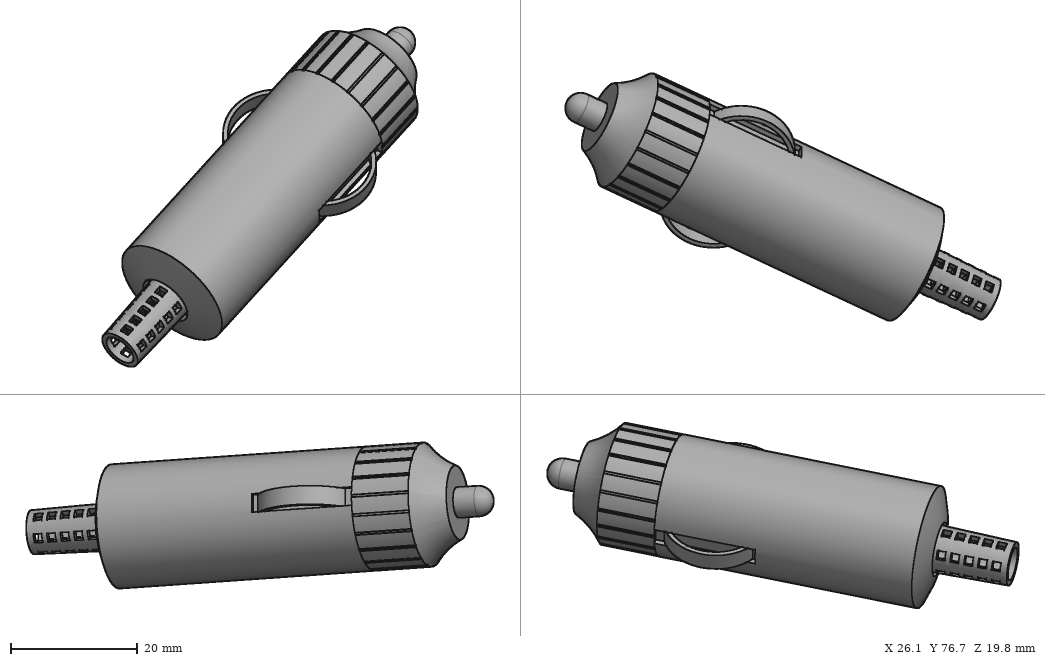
import cadquery as cq
import math


tip_end = 76.7
cap_front = 70.8
cap_shoulder = 65.75
cap_rear = 56.3
housing_rim = 13.8

plug_radius = 9.9
tip_radius = 2.45
cap_front_radius = 5.9

flank_hollow = 0.4
groove_count = 20
groove_width = 0.4
groove_depth = 0.15

arm_radius = 8.5
arm_reach = 13.05
arm_thickness = 0.8
arm_width = 3.0
arm_center_y = 47.65
arm_center_x = arm_reach - arm_radius

dome_radius = 23.4
slot_floor = 8.9
slot_rear = 39.7
recess_radius = 4.4
recess_depth = 1.5
dome_center_y = housing_rim + math.sqrt(dome_radius**2 - plug_radius**2)
recess_mouth_y = dome_center_y - math.sqrt(dome_radius**2 - recess_radius**2)
recess_floor_y = recess_mouth_y + recess_depth

relief_root_radius = 3.8
relief_outlet_radius = 3.5
relief_bore_radius = 2.7
window_columns = 6
window_rows = 5
window_width = 1.45
window_length = 1.4
first_window_y = 1.85
last_window_y = 10.9


def revolve_about_y(profile):
    """Revolve a closed XY profile one full turn about the Y axis."""
    return profile.close().revolve(360, (0, 0, 0), (0, 1, 0))


def make_contact_tip():
    """Round pin with a hemispherical end, standing on the cap."""
    dome_start = tip_end - tip_radius
    diagonal = tip_radius * math.sqrt(0.5)
    return revolve_about_y(
        cq.Workplane("XY")
        .moveTo(0, cap_front)
        .lineTo(tip_radius, cap_front)
        .lineTo(tip_radius, dome_start)
        .threePointArc((diagonal, dome_start + diagonal), (0, tip_end))
    )


def make_cap():
    """Grooved grip ring that narrows to the front along a hollow flank."""
    flank_drop = plug_radius - cap_front_radius
    flank_rise = cap_front - cap_shoulder
    flank_chord = math.hypot(flank_drop, flank_rise)
    flank_middle = (
        (plug_radius + cap_front_radius) / 2 - flank_hollow * flank_rise / flank_chord,
        (cap_front + cap_shoulder) / 2 - flank_hollow * flank_drop / flank_chord,
    )
    cap = revolve_about_y(
        cq.Workplane("XY")
        .moveTo(0, cap_rear)
        .lineTo(plug_radius, cap_rear)
        .lineTo(plug_radius, cap_shoulder)
        .threePointArc(flank_middle, (cap_front_radius, cap_front))
        .lineTo(0, cap_front)
    )

    groove = (
        cq.Workplane("XY")
        .box(groove_width, cap_shoulder - cap_rear, 2 * groove_depth)
        .translate((0, (cap_rear + cap_shoulder) / 2, plug_radius))
    )
    for index in range(groove_count):
        cap = cap.cut(groove.rotate((0, 0, 0), (0, 1, 0), index * 360 / groove_count))
    return cap


def make_spring_clip():
    """Two mirrored arms: each rests on its slot floor, bows outward and meets the other at X = 0."""
    inner_radius = arm_radius - arm_thickness

    def rise(radius, x):
        """Half chord of an arm circle at the given distance from the plug axis."""
        return math.sqrt(radius**2 - (x - arm_center_x) ** 2)

    arm = (
        cq.Workplane("XY")
        .moveTo(0, arm_center_y + rise(arm_radius, 0))
        .threePointArc((arm_reach, arm_center_y), (slot_floor, arm_center_y - rise(arm_radius, slot_floor)))
        .lineTo(slot_floor, arm_center_y - rise(inner_radius, slot_floor))
        .threePointArc(
            (arm_reach - arm_thickness, arm_center_y), (0, arm_center_y + rise(inner_radius, 0))
        )
        .close()
        .extrude(arm_width / 2, both=True)
    )
    return arm.union(arm.mirror("YZ"))


def make_housing(spring_clip):
    """Barrel with a domed rear end, two side slots for the arms and a recess for the strain relief."""
    housing = revolve_about_y(
        cq.Workplane("XY")
        .moveTo(0, cap_rear)
        .lineTo(plug_radius, cap_rear)
        .lineTo(plug_radius, housing_rim)
        .threePointArc((recess_radius, recess_mouth_y), (0, dome_center_y - dome_radius))
    )

    recess_profile = cq.Workplane("XY").lineTo(recess_radius, 0).lineTo(recess_radius, recess_floor_y)
    housing = housing.cut(revolve_about_y(recess_profile.lineTo(0, recess_floor_y)))

    slot_length = cap_rear - slot_rear
    for side in (-1, 1):
        slot = cq.Workplane("XY").box(2 * (plug_radius - slot_floor), slot_length, arm_width)
        housing = housing.cut(slot.translate((side * plug_radius, slot_rear + slot_length / 2, 0)))

    return housing.cut(spring_clip)


def make_strain_relief():
    """Tapered sleeve standing on the recess floor, pierced by rings of windows."""
    relief = revolve_about_y(
        cq.Workplane("XY")
        .moveTo(relief_bore_radius, 0)
        .lineTo(relief_outlet_radius, 0)
        .lineTo(relief_root_radius, recess_floor_y)
        .lineTo(relief_bore_radius, recess_floor_y)
    )

    row_pitch = (last_window_y - first_window_y) / (window_rows - 1)
    for row in range(window_rows):
        window = (
            cq.Workplane("XY")
            .box(window_width, window_length, relief_root_radius)
            .translate((0, first_window_y + row * row_pitch, relief_root_radius))
        )
        for column in range(window_columns):
            relief = relief.cut(window.rotate((0, 0, 0), (0, 1, 0), column * 360 / window_columns))
    return relief


contact_tip = make_contact_tip()
cap = make_cap()
spring_clip = make_spring_clip()
housing = make_housing(spring_clip)
strain_relief = make_strain_relief()

bodies = [contact_tip, cap, spring_clip, housing, strain_relief]
result = cq.Compound.makeCompound([body.solids().val() for body in bodies])